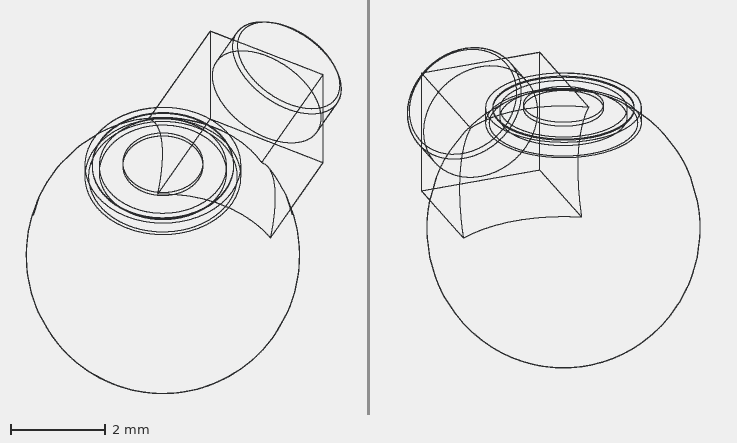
import cadquery as cq

ball_radius = 5.8 / 2
ball_half_height = 2.97
overall_height = 5.99
overall_length = 8.67

button_radius = 0.85
button_edge_height = 0.08
button_crown = 0.08
button_top = overall_height - ball_half_height
button_rim = button_top - button_crown

collar_diameter = 3.3
collar_recess_diameter = 3.0
collar_bore = 2.7
collar_height = 0.36
collar_recess_depth = 0.03
collar_top = button_rim - button_edge_height
collar_bottom = collar_top - collar_height

arm_width = 2.7
arm_height = 2.79
arm_end = 4.76
arm_axis_z = 0.33
spigot_diameter = 2.6
spigot_end = overall_length - ball_radius
spigot_chamfer = 0.08


def disc(diameter, bottom, height):
    """Vertical cylinder on the ball axis."""
    return cq.Workplane("XY", origin=(0, 0, bottom)).circle(diameter / 2).extrude(height)


def make_ball():
    """Half ellipse revolved about the vertical axis."""
    profile = (
        cq.Workplane("XZ")
        .moveTo(0, -ball_half_height)
        .ellipseArc(ball_radius, ball_half_height, -90, 90, startAtCurrent=True)
        .close()
    )
    return profile.revolve(360, (0, 0, 0), (0, 1, 0))


def make_arm():
    """Arm starting inside the ball, with a chamfered spigot on its end."""
    arm = cq.Workplane("XY").box(arm_width, arm_end, arm_height, centered=(True, False, True))
    spigot = (
        cq.Workplane("XZ", origin=(0, arm_end, 0))
        .circle(spigot_diameter / 2)
        .extrude(arm_end - spigot_end)
        .faces(">Y")
        .chamfer(spigot_chamfer)
    )
    return arm.union(spigot).translate((0, 0, arm_axis_z))


def make_collar():
    """Ring with a shallow recess around its bore, its lower inner edge sunk into the ball."""
    ring = disc(collar_diameter, collar_bottom, collar_height)
    recess = disc(collar_recess_diameter, collar_top - collar_recess_depth, collar_recess_depth)
    bore = disc(collar_bore, collar_bottom, collar_height)
    return ring.cut(recess).cut(bore)


def make_button():
    """Round button rooted in the ball, with a shallow domed top."""
    crown_radius = (button_radius**2 + button_crown**2) / (2 * button_crown)
    stem = disc(2 * button_radius, 0, button_top)
    crown = cq.Workplane("XY").sphere(crown_radius).translate((0, 0, button_top - crown_radius))
    return stem.intersect(crown)


result = make_ball().union(make_arm()).union(make_collar()).union(make_button())